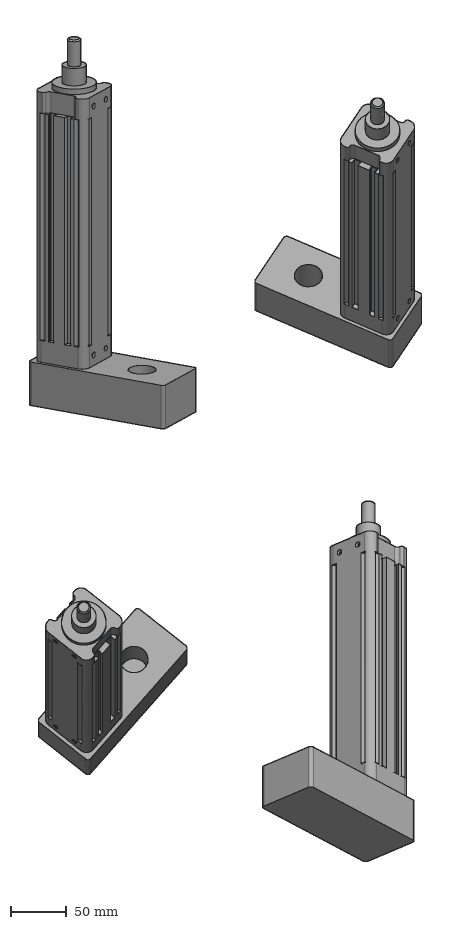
import cadquery as cq

base_length = 140.0
base_width = 60.0
base_height = 41.0
base_corner_radius = 3.0
base_margin_x = 3.5
base_margin_y = 3.0
base_hole_diameter = 25.0
base_hole_depth = 34.2
base_hole_x = 70.2

body_side = 53.0
body_height = 254.8
body_corner_radius = 7.5
half_side = body_side / 2
body_top = base_height + body_height

total_height = 342.5
flange_diameter = 40.0
flange_height = 5.0
collar_diameter = 22.0
collar_height = 16.5
shaft_diameter = 12.5
shaft_chamfer = 1.5
shaft_height = total_height - body_top - flange_height - collar_height

recess_height = 20.0
recess_floor_width = 23.5
recess_depth = 5.5
recess_floor_radius = 3.5
recess_lip_radius = recess_depth - recess_floor_radius

groove_end_distance = 20.5
groove_bottom = base_height + groove_end_distance
groove_height = body_top - recess_height - groove_bottom
slot_offset = 8.5
slot_width = 6.0
slot_depth = 4.8
slot_mouth_width = 5.0
slot_lip_depth = 2.5
round_groove_offset = 17.5
round_groove_diameter = 4.8

seat_diameter = 5.0
screw_hole_diameter = 2.0
seat_depth = 1.5
screw_hole_depth = 5.0
screw_hole_spacing = 22.0
screw_hole_end_distance = 10.0


def make_base():
    center_x = base_length / 2 - half_side - base_margin_x
    center_y = half_side + base_margin_y - base_width / 2
    block = (
        cq.Workplane("XY")
        .center(center_x, center_y)
        .rect(base_length, base_width)
        .extrude(base_height)
        .edges("|Z")
        .fillet(base_corner_radius)
    )
    hole = (
        cq.Workplane("XY", origin=(base_hole_x, 0, base_height - base_hole_depth))
        .circle(base_hole_diameter / 2)
        .extrude(base_hole_depth)
    )
    return block.cut(hole)


def make_body():
    return (
        cq.Workplane("XY", origin=(0, 0, base_height))
        .rect(body_side, body_side)
        .extrude(body_height)
        .edges("|Z")
        .fillet(body_corner_radius)
    )


def make_rod_end():
    flange = (
        cq.Workplane("XY", origin=(0, 0, body_top))
        .circle(flange_diameter / 2)
        .extrude(flange_height)
    )
    collar = flange.faces(">Z").workplane().circle(collar_diameter / 2).extrude(collar_height)
    shaft = collar.faces(">Z").workplane().circle(shaft_diameter / 2).extrude(shaft_height)
    return shaft.faces(">Z").chamfer(shaft_chamfer)


def make_recess():
    """Cutter on the -Y face: flat floor, joined to the face by an S-curve along each side."""
    floor_x = recess_floor_width / 2
    bend_x = floor_x + recess_floor_radius
    mouth_x = bend_x + recess_lip_radius
    floor_y = recess_depth - half_side
    bend_y = recess_lip_radius - half_side
    return (
        cq.Workplane("XY", origin=(0, 0, body_top - recess_height))
        .moveTo(0, floor_y)
        .lineTo(floor_x, floor_y)
        .tangentArcPoint((bend_x, bend_y), relative=False)
        .tangentArcPoint((mouth_x, -half_side), relative=False)
        .lineTo(0, -half_side)
        .mirrorY()
        .extrude(recess_height)
    )


def make_slot(x, width, start_depth, end_depth):
    """Cutter for a rectangular slot between two depths below the -Y face."""
    return (
        cq.Workplane("XY", origin=(0, 0, groove_bottom))
        .center(x, (start_depth + end_depth) / 2 - half_side)
        .rect(width, end_depth - start_depth)
        .extrude(groove_height)
    )


def make_slots():
    """Cutter for a plain slot and, on the -X side, a slot with a narrower mouth."""
    plain_slot = make_slot(slot_offset, slot_width, 0, slot_depth)
    mouth = make_slot(-slot_offset, slot_mouth_width, 0, slot_lip_depth)
    inner = make_slot(-slot_offset, slot_width, slot_lip_depth, slot_depth)
    return plain_slot.union(mouth).union(inner)


def make_round_grooves():
    """Cutter for the two half-round grooves on the -Y face."""
    return (
        cq.Workplane("XY", origin=(0, 0, groove_bottom))
        .pushPoints([(-round_groove_offset, -half_side), (round_groove_offset, -half_side)])
        .circle(round_groove_diameter / 2)
        .extrude(groove_height)
    )


def make_screw_holes():
    """Cutter for the four countersunk holes on the -X face."""
    heights = (base_height + screw_hole_end_distance, body_top - screw_hole_end_distance)
    points = [(-half_side, y, z) for y in (-screw_hole_spacing / 2, screw_hole_spacing / 2) for z in heights]
    inward = cq.Vector(1, 0, 0)
    holes = cq.Workplane("XY")
    for point in points:
        start = cq.Vector(*point)
        seat = cq.Solid.makeCone(
            seat_diameter / 2, screw_hole_diameter / 2, seat_depth, start, inward
        )
        hole = cq.Solid.makeCylinder(screw_hole_diameter / 2, screw_hole_depth, start, inward)
        holes = holes.add(seat.fuse(hole))
    return holes.combine()


def cut_both_sides(body, cutter, plane):
    return body.cut(cutter).cut(cutter.mirror(plane))


body = make_body()
body = cut_both_sides(body, make_recess(), "XZ")
body = cut_both_sides(body, make_slots(), "XZ")
body = cut_both_sides(body, make_round_grooves(), "XZ")
body = cut_both_sides(body, make_round_grooves().rotate((0, 0, 0), (0, 0, 1), -90), "YZ")
body = cut_both_sides(body, make_screw_holes(), "YZ")

result = make_base().union(body).union(make_rod_end())